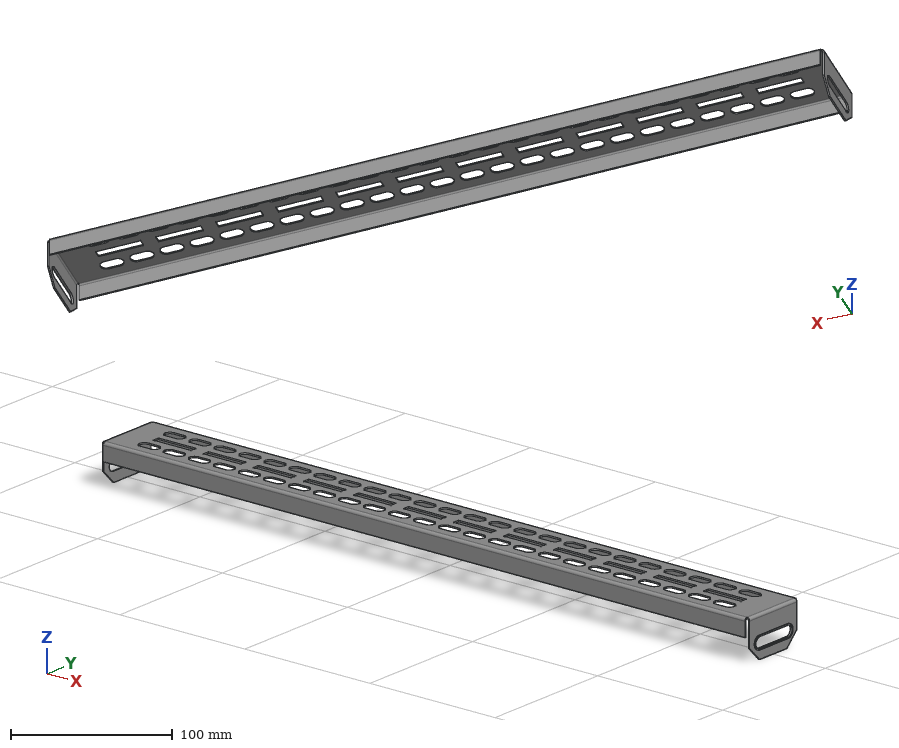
import cadquery as cq
import math

overall_length = 518.0
width = 50.0
height = 30.0

sheet = 1.0
bend_radius = 2.0
side_height = 13.0

collar_height = 0.5
collar_wall = 1.0

flange_width = width - 2 * bend_radius
flange_corner = 10.0
handle_length = 35.0
handle_width = 8.0
handle_depth = 18.5

oblong_count = 24
oblong_row_length = 460.0
oblong_pitch = oblong_row_length / (oblong_count - 1)
oblong_length = 15.5
oblong_width = 8.0
oblong_row_offset = 12.5
slit_count = oblong_count // 2
slit_pitch = 2 * oblong_pitch
slit_length = 30.0
slit_width = 5.0

length = overall_length - collar_height
half_length = length / 2


def channel(plane, span, depth, extent):
    """Inverted U channel with rounded bends, extruded symmetrically over the given extent."""
    inner_radius = bend_radius - sheet
    half = span / 2
    inner_half = half - sheet
    diagonal = math.sqrt(0.5)
    outer_mid = bend_radius * (1 - diagonal)
    inner_mid = sheet + inner_radius * (1 - diagonal)
    return (
        cq.Workplane(plane)
        .moveTo(-half, -depth)
        .lineTo(-half, -bend_radius)
        .threePointArc((-half + outer_mid, -outer_mid), (-half + bend_radius, 0))
        .lineTo(half - bend_radius, 0)
        .threePointArc((half - outer_mid, -outer_mid), (half, -bend_radius))
        .lineTo(half, -depth)
        .lineTo(inner_half, -depth)
        .lineTo(inner_half, -bend_radius)
        .threePointArc((half - inner_mid, -inner_mid), (half - bend_radius, -sheet))
        .lineTo(-half + bend_radius, -sheet)
        .threePointArc((-half + inner_mid, -inner_mid), (-inner_half, -bend_radius))
        .lineTo(-inner_half, -depth)
        .close()
        .extrude(extent / 2, both=True)
    )


def end_flange_channel():
    """Top face with both end flanges, their lower corners cut at 45 degrees."""
    return (
        channel("XZ", length, height, flange_width)
        .faces("<Z")
        .edges("|X")
        .chamfer(flange_corner)
    )


def handle_prism(start_x, thickness, margin=0):
    """Round-ended prism along +X on the handle slot centre, grown by the margin on all sides."""
    return (
        cq.Workplane("YZ", origin=(start_x, 0, -handle_depth))
        .slot2D(handle_length + 2 * margin, handle_width + 2 * margin)
        .extrude(thickness)
    )


def row_points(count, pitch, y):
    """Evenly spaced points along X at the given Y, centred on X = 0."""
    return [((i - (count - 1) / 2) * pitch, y) for i in range(count)]


def perforation():
    """Cutters for two rows of round-ended holes and one middle row of square-ended slits."""
    oblong_points = []
    for y in (-oblong_row_offset, oblong_row_offset):
        oblong_points += row_points(oblong_count, oblong_pitch, y)
    top = cq.Workplane("XY")
    oblongs = top.pushPoints(oblong_points).slot2D(oblong_length, oblong_width).extrude(-sheet)
    slits = (
        top.pushPoints(row_points(slit_count, slit_pitch, 0))
        .rect(slit_length, slit_width)
        .extrude(-sheet)
    )
    return oblongs.union(slits)


side_walls = channel("YZ", width, side_height, length - 2 * bend_radius)
cover = side_walls.union(end_flange_channel())

collar = handle_prism(half_length - sheet, sheet + collar_height, collar_wall)
handle_slots = handle_prism(-half_length, overall_length)

result = cover.union(collar).cut(handle_slots).cut(perforation())